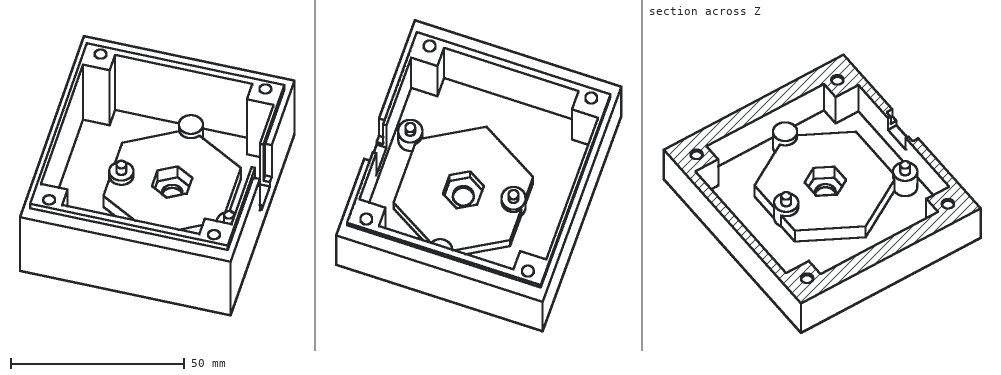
import cadquery as cq

LENGTH_X = 63.0
LENGTH_Y = 70.0
HEIGHT = 26.5
FLOOR = 1.5
WALL_X = 3.0
WALL_Y = 6.0

RIM_HEIGHT = 2.0
RIM_INSET_X = 1.95
RIM_INSET_Y = 4.0

CORNER_X = 11.0
CORNER_Y = 12.0
SCREW_X = 24.65
SCREW_Y = 28.15
SCREW_DIAMETER = 3.4
SCREW_DEPTH = 14.0
SCREW_TIP_DEPTH = 1.05

HUB_X = 3.5
HUB_Y = 3.5
PLATEAU_RADIUS = 20.5
PLATEAU_HEIGHT = 5.0
NUT_RADIUS = 6.0
BORE_DIAMETER = 6.0

POST_DIAMETER = 7.0
POST_HEIGHT = 6.9
PIN_DIAMETER = 2.9
PIN_HEIGHT = 3.0
PLAIN_POST = (0.0, PLATEAU_RADIUS)
PINNED_POSTS = [(-14.8, -1.55), (20.1, -11.4)]

NOTCH_WIDTH = 9.0
NOTCH_SILL = 8.05
NOTCH_STEP = 2.0

CAVITY_X = LENGTH_X - 2 * WALL_X
CAVITY_Y = LENGTH_Y - 2 * WALL_Y
RIM_BASE = HEIGHT - RIM_HEIGHT


def box_on(width, depth, bottom, top, x=0.0, y=0.0):
    """Box centred at (x, y), spanning the heights bottom to top."""
    box = cq.Workplane("XY").box(width, depth, top - bottom, centered=(True, True, False))
    return box.translate((x, y, bottom))


def cylinder_on(diameter, bottom, height, x, y):
    """Upright cylinder standing at the height bottom."""
    base = cq.Workplane("XY", origin=(x, y, bottom))
    return base.circle(diameter / 2).extrude(height)


def hexagon_on(radius, bottom, height):
    """Hexagonal prism on the hub axis, with corners pointing along Y."""
    base = cq.Workplane("XY", origin=(HUB_X, HUB_Y, bottom)).polygon(6, 2 * radius).extrude(height)
    return base.rotate((HUB_X, HUB_Y, 0), (HUB_X, HUB_Y, 1), 90)


def make_shell():
    """Open case with rim and four solid inner corners."""
    body = box_on(LENGTH_X, LENGTH_Y, 0, RIM_BASE)
    rim = box_on(LENGTH_X - 2 * RIM_INSET_X, LENGTH_Y - 2 * RIM_INSET_Y, RIM_BASE, HEIGHT)
    wide = box_on(CAVITY_X, LENGTH_Y - 2 * CORNER_Y, FLOOR, HEIGHT)
    long = box_on(LENGTH_X - 2 * CORNER_X, CAVITY_Y, FLOOR, HEIGHT)
    return body.union(rim).cut(wide).cut(long)


def make_screw_hole(x, y):
    """Blind hole from the rim top, ending in a cone."""
    radius = SCREW_DIAMETER / 2
    outline = cq.Workplane("XZ").polyline([
        (0, HEIGHT),
        (radius, HEIGHT),
        (radius, HEIGHT - SCREW_DEPTH),
        (0, HEIGHT - SCREW_DEPTH - SCREW_TIP_DEPTH),
    ]).close()
    return outline.revolve(360, (0, 0, 0), (0, 1, 0)).translate((x, y, 0))


def make_post(offset, pinned):
    """Post standing on the floor, with an optional locating pin."""
    x = HUB_X + offset[0]
    y = HUB_Y + offset[1]
    post = cylinder_on(POST_DIAMETER, FLOOR, POST_HEIGHT, x, y)
    if pinned:
        post = post.union(cylinder_on(PIN_DIAMETER, FLOOR + POST_HEIGHT, PIN_HEIGHT, x, y))
    return post


def make_notch():
    """Slot through the +X wall, wider and shallower outside the rim."""
    wall_centre = (LENGTH_X - WALL_X) / 2
    through = box_on(WALL_X, NOTCH_WIDTH, NOTCH_SILL, HEIGHT, wall_centre, HUB_Y)
    step_centre = (LENGTH_X - RIM_INSET_X) / 2
    step_width = NOTCH_WIDTH + 2 * NOTCH_STEP
    step = box_on(RIM_INSET_X, step_width, NOTCH_SILL + NOTCH_STEP, HEIGHT, step_centre, HUB_Y)
    return through.union(step)


result = make_shell().union(hexagon_on(PLATEAU_RADIUS, FLOOR, PLATEAU_HEIGHT))
result = result.union(make_post(PLAIN_POST, pinned=False))
for position in PINNED_POSTS:
    result = result.union(make_post(position, pinned=True))

result = result.cut(hexagon_on(NUT_RADIUS, FLOOR, PLATEAU_HEIGHT))
result = result.cut(cylinder_on(BORE_DIAMETER, 0, FLOOR, HUB_X, HUB_Y))
result = result.cut(make_notch())
for side_x in (-1, 1):
    for side_y in (-1, 1):
        result = result.cut(make_screw_hole(side_x * SCREW_X, side_y * SCREW_Y))